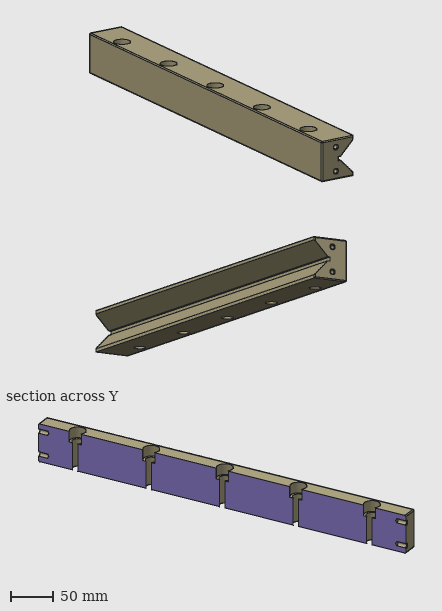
import cadquery as cq
import math

length = 500.0
depth = 45.0
height = 50.0
edge_chamfer = 1.4

groove_half_opening = 21.0
relief_width = 5.0
relief_bottom_depth = 21.5

hole_count = 5
hole_pitch = length / hole_count
hole_y = -8.5
hole_diameter = 14.0
counterbore_diameter = 20.0
counterbore_depth = 14.0

end_hole_diameter = 5.0
end_hole_mouth_diameter = 7.0
drill_point_angle = 118.0
end_hole_depth = 12.5
end_hole_y = -2.5
end_hole_z = 15.0


def make_bar():
    """Rectangular bar with chamfered end outlines and front long edges."""
    bar = cq.Workplane("XY").box(length, depth, height)
    return bar.faces("<X or >X or <Y").edges().chamfer(edge_chamfer)


def make_groove():
    """V groove and relief slot, cut along the full length."""
    rear_y = depth / 2
    relief_half = relief_width / 2
    v_root_y = rear_y - (groove_half_opening - relief_half)
    relief_y = rear_y - relief_bottom_depth
    return (
        cq.Workplane("YZ", origin=(-length / 2, 0, 0))
        .moveTo(rear_y, groove_half_opening)
        .lineTo(v_root_y, relief_half)
        .lineTo(relief_y, relief_half)
        .lineTo(relief_y, -relief_half)
        .lineTo(v_root_y, -relief_half)
        .lineTo(rear_y, -groove_half_opening)
        .close()
        .extrude(length)
    )


def cut_mounting_holes(body):
    return (
        body.faces(">Z")
        .workplane(origin=(0, hole_y, height / 2))
        .rarray(hole_pitch, 5, hole_count, 1)
        .cboreHole(hole_diameter, counterbore_diameter, counterbore_depth)
    )


def make_end_hole():
    """Revolved cutter along +X: countersink, straight bore and drill point."""
    bore_radius = end_hole_diameter / 2
    mouth_radius = end_hole_mouth_diameter / 2
    mouth_depth = mouth_radius - bore_radius
    tip_length = bore_radius / math.tan(math.radians(drill_point_angle / 2))
    return (
        cq.Workplane("XY")
        .lineTo(0, mouth_radius)
        .lineTo(mouth_depth, bore_radius)
        .lineTo(end_hole_depth, bore_radius)
        .lineTo(end_hole_depth + tip_length, 0)
        .close()
        .revolve(360, (0, 0, 0), (1, 0, 0))
    )


def cut_end_holes(body):
    left_cutter = make_end_hole().translate((-length / 2, end_hole_y, 0))
    for cutter in (left_cutter, left_cutter.mirror("YZ")):
        for z in (-end_hole_z, end_hole_z):
            body = body.cut(cutter.translate((0, 0, z)))
    return body


result = make_bar().cut(make_groove())
result = cut_mounting_holes(result)
result = cut_end_holes(result)